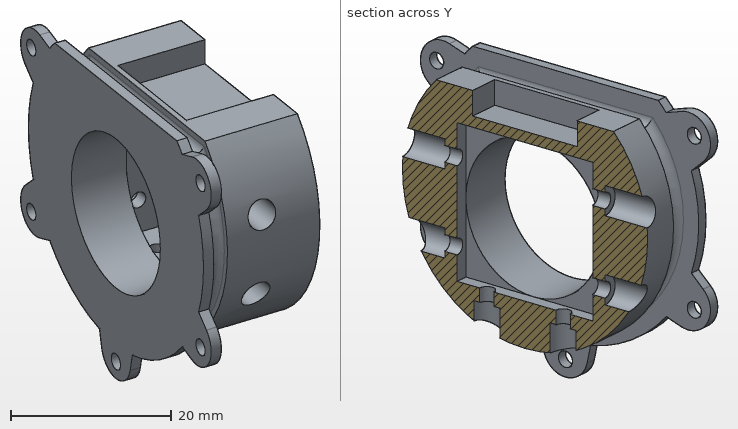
import math

import cadquery as cq

TOTAL_DEPTH = 18.0

FLANGE_THICKNESS = 1.5
FLANGE_RADIUS = 21.0
FLANGE_FLAT_Z = 15.07
EAR_ANGLES = (30, 150, 210, 270, 330)
EAR_TIP_CENTER = 22.34
EAR_TIP_RADIUS = 3.5
EAR_ROOT_HALF_WIDTH = 3.95
EAR_HOLE_CENTER = 23.43
SCREW_HOLE_DIAMETER = 2.2

NECK_WIDTH = 3.0
NECK_RADIUS = 17.2
NECK_FLAT_Z = 11.15
NECK_FILLET = 1.4

BODY_START = FLANGE_THICKNESS + NECK_WIDTH
BODY_RADIUS = 19.35
BODY_FLAT_Z = 13.4

BORE_DIAMETER = 21.3
BORE_CENTER_Z = -2.27
CAVITY_START = 8.0

RECESS_WIDTH = 16.4
RECESS_START = 5.3
RECESS_FLOOR_Z = 9.95

WALL_HOLE_SPACING = 12.0
WALL_HOLE_Y = 9.75
COUNTERBORE_DIAMETER = 4.0
SCREW_SEAT_THICKNESS = 2.0


def flat_topped_disc(radius, flat_z, start, depth):
    """Disc around the Y axis, cut off above flat_z."""
    flat_half_width = math.sqrt(radius**2 - flat_z**2)
    return (
        cq.Workplane("XZ", origin=(0, start, 0))
        .moveTo(flat_half_width, flat_z)
        .threePointArc((0, -radius), (-flat_half_width, flat_z))
        .close()
        .extrude(-depth)
    )


def make_ear():
    """Ear pointing along +X: sides run from the disc edge tangentially to the round tip."""
    root_x = math.sqrt(FLANGE_RADIUS**2 - EAR_ROOT_HALF_WIDTH**2)
    reach = EAR_TIP_CENTER - root_x
    root_to_center = math.hypot(reach, EAR_ROOT_HALF_WIDTH)
    taper = math.asin(EAR_TIP_RADIUS / root_to_center) - math.atan2(EAR_ROOT_HALF_WIDTH, reach)
    tangent_x = EAR_TIP_CENTER - EAR_TIP_RADIUS * math.sin(taper)
    tangent_z = EAR_TIP_RADIUS * math.cos(taper)
    return (
        cq.Workplane("XZ")
        .lineTo(root_x, -EAR_ROOT_HALF_WIDTH)
        .lineTo(tangent_x, -tangent_z)
        .threePointArc((EAR_TIP_CENTER + EAR_TIP_RADIUS, 0), (tangent_x, tangent_z))
        .lineTo(root_x, EAR_ROOT_HALF_WIDTH)
        .close()
        .extrude(-FLANGE_THICKNESS)
    )


def make_flange():
    flange = flat_topped_disc(FLANGE_RADIUS, FLANGE_FLAT_Z, 0, FLANGE_THICKNESS)
    ear = make_ear()
    hole = (
        cq.Workplane("XZ")
        .center(EAR_HOLE_CENTER, 0)
        .circle(SCREW_HOLE_DIAMETER / 2)
        .extrude(-FLANGE_THICKNESS)
    )
    drilled_ear = ear.cut(hole)
    for angle in EAR_ANGLES:
        flange = flange.union(drilled_ear.rotate((0, 0, 0), (0, -1, 0), angle))
    return flange


def waisted_outline(waist, base):
    """Closed outline from height base up to waist, flaring by the neck fillet at both Y ends."""
    bend = NECK_FILLET * math.sqrt(0.5)
    flare_top = waist + NECK_FILLET
    front_center_y = FLANGE_THICKNESS + NECK_FILLET
    rear_center_y = BODY_START - NECK_FILLET
    return (
        cq.Workplane("YZ")
        .moveTo(FLANGE_THICKNESS, base)
        .lineTo(FLANGE_THICKNESS, flare_top)
        .threePointArc((front_center_y - bend, flare_top - bend), (front_center_y, waist))
        .lineTo(rear_center_y, waist)
        .threePointArc((rear_center_y + bend, flare_top - bend), (BODY_START, flare_top))
        .lineTo(BODY_START, base)
        .close()
    )


def make_neck():
    """Round waisted spool, mitred against a straight waisted flat on top."""
    spool = waisted_outline(NECK_RADIUS, 0).revolve(360, (0, 0, 0), (1, 0, 0))
    flat_limit = waisted_outline(NECK_FLAT_Z, -FLANGE_RADIUS).extrude(FLANGE_RADIUS, both=True)
    return spool.intersect(flat_limit)


def make_shell():
    """Flange, neck and body joined into one solid block."""
    body = flat_topped_disc(BODY_RADIUS, BODY_FLAT_Z, BODY_START, TOTAL_DEPTH - BODY_START)
    return make_flange().union(make_neck()).union(body)


def make_bore_and_cavity():
    bore = (
        cq.Workplane("XZ")
        .center(0, BORE_CENTER_Z)
        .circle(BORE_DIAMETER / 2)
        .extrude(-TOTAL_DEPTH)
    )
    cavity = (
        cq.Workplane("XZ", origin=(0, CAVITY_START, BORE_CENTER_Z))
        .rect(BORE_DIAMETER, BORE_DIAMETER)
        .extrude(CAVITY_START - TOTAL_DEPTH)
    )
    return bore.union(cavity)


def make_top_recess():
    return cq.Workplane("XY").box(
        RECESS_WIDTH,
        TOTAL_DEPTH - RECESS_START,
        BODY_RADIUS,
        centered=(True, False, False),
    ).translate((0, RECESS_START, RECESS_FLOOR_Z))


def make_wall_holes():
    """Pairs of counterbored holes going outwards through the left, right and bottom walls."""
    seat = BORE_DIAMETER / 2 + SCREW_SEAT_THICKNESS
    cutters = cq.Workplane("XY")
    for direction in (cq.Vector(1, 0, 0), cq.Vector(-1, 0, 0), cq.Vector(0, 0, -1)):
        across = direction.cross(cq.Vector(0, 1, 0))
        for side in (-1, 1):
            axis_point = cq.Vector(0, WALL_HOLE_Y, BORE_CENTER_Z) + across * (side * WALL_HOLE_SPACING / 2)
            hole = cq.Solid.makeCylinder(SCREW_HOLE_DIAMETER / 2, BODY_RADIUS, axis_point, direction)
            counterbore = cq.Solid.makeCylinder(
                COUNTERBORE_DIAMETER / 2, BODY_RADIUS, axis_point + direction * seat, direction
            )
            cutters = cutters.add(hole).add(counterbore)
    return cutters.combine()


result = (
    make_shell()
    .cut(make_bore_and_cavity())
    .cut(make_top_recess())
    .cut(make_wall_holes())
)